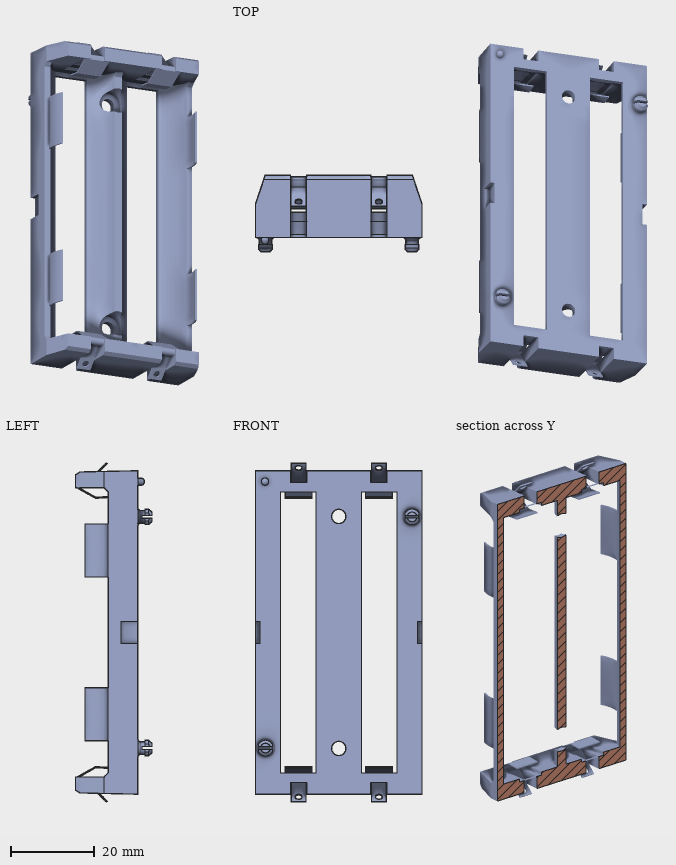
import cadquery as cq
import math

width = 39.78
depth = 14.95
half_length = 38.65
rail_depth = 7.1

end_wall_inner_z = 34.5
wall_corner = 1.0
taper_start_y = rail_depth + wall_corner
side_taper = 2.3
end_draft = 0.3
rear_bevel_y = 1.1
rear_bevel_z = 0.7

cell_x = 9.65
cell_y = 9.06
cell_radius = 8.9
window_width = 8.4
window_half_length = 33.5
window_floor = 1.25

clip_thickness = 0.4
clip_length = 12.7
clip_z = 19.55
clip_top_y = 12.7
clip_root_y = 5.0

groove_x = 9.58
groove_width = 3.8
groove_floor_z = 35.85
lip_depth = 0.8
floor_drop = 0.25
step_y = 3.85
step_drop = 0.1
opening_start_y = 6.1
opening_end_y = 12.5
spring_pocket_width = 6.6
spring_pocket_roof_z = 35.3

sheet = 0.3
contact_rear_y = 14.55
foot_z = groove_floor_z - floor_drop
tab_bend_y = 12.15
overall_length = 81.03
tab_tip_z = overall_length / 2
tab_width = 3.6
tab_hole_diameter = 1.65
tab_hole_below_tip = 1.1
rear_bend_radius = 0.8
spring_width = 6.4
spring_bend_y = 10.1
spring_bend_z = 32.0
spring_end_y = 6.9
spring_end_z = 32.2

screw_hole_diameter = 3.35
screw_hole_z = 27.7
screw_head_diameter = 6.0
screw_head_y = 1.8
notch_depth_x = 1.1
notch_depth_y = 4.1
notch_length = 5.25
snap_peg_x = 17.5
snap_peg_z = 27.6
overall_depth = 18.34
snap_peg_length = overall_depth - depth
snap_slot_width = 0.65
snap_slot_start = 1.0
snap_head_width = 3.25
key_peg_x = -17.6
key_peg_z = 36.0
key_peg_radius = 0.88
key_peg_length = 1.55
key_peg_rim = 0.75

SIDES = (-1, 1)


def block(x_range, y_range, z_range):
    """Box given by its limits along each axis."""
    ranges = (x_range, y_range, z_range)
    sizes = [high - low for low, high in ranges]
    corner = tuple(low for low, high in ranges)
    return cq.Workplane("XY").box(*sizes, centered=False).translate(corner)


def across(middle, size):
    """Limits of a span of the given size about its middle."""
    return (middle - size / 2, middle + size / 2)


def side_plate(points, x_middle, plate_width):
    """Closed outline of (y, z) points extruded along X about x_middle."""
    plane = cq.Workplane("YZ", origin=(x_middle - plate_width / 2, 0, 0))
    return plane.polyline(points).close().extrude(plate_width)


def at_both_ends(shape):
    """The shape joined with its mirror image at the opposite Z end."""
    return shape.union(shape.mirror("XY"))


def make_body():
    """Low rails between deep end walls, with drafted ends and sides tapered at the rear."""
    bevel_y = depth - rear_bevel_y
    drafted_z = half_length - end_draft
    side = [
        (0, half_length),
        (bevel_y, drafted_z),
        (depth, drafted_z - rear_bevel_z),
        (depth, end_wall_inner_z),
        (taper_start_y, end_wall_inner_z),
        (rail_depth, end_wall_inner_z - wall_corner),
    ]
    opposite_side = [(y, -z) for y, z in reversed(side)]
    body = side_plate(side + opposite_side, 0, width)
    half_width = width / 2
    outline = (
        cq.Workplane("XY", origin=(0, 0, -half_length))
        .moveTo(-half_width, 0)
        .lineTo(half_width, 0)
        .lineTo(half_width, taper_start_y)
        .lineTo(half_width - side_taper, depth)
        .lineTo(side_taper - half_width, depth)
        .lineTo(-half_width, taper_start_y)
        .close()
        .extrude(2 * half_length)
    )
    return body.intersect(outline)


def cell_cylinder(x, radius, length):
    """Cylinder along Z on the axis of a cell, centred on Z = 0."""
    plane = cq.Workplane("XY", origin=(x, cell_y, -length / 2))
    return plane.circle(radius).extrude(length)


def cut_cells(body):
    """Cell troughs between the end walls and the windows through their floors."""
    for side in SIDES:
        x = side * cell_x
        above_floor = block(
            across(x, 2 * cell_radius),
            (window_floor, cell_y + cell_radius),
            across(0, 2 * end_wall_inner_z),
        )
        trough = cell_cylinder(x, cell_radius, 2 * end_wall_inner_z)
        body = body.cut(trough.intersect(above_floor))
        window = block(
            across(x, window_width),
            (0, cell_y),
            across(0, 2 * window_half_length),
        )
        body = body.cut(window)
    return body


def make_clip(side):
    """Curved spring clip that follows the outer side of one cell."""
    x = side * cell_x
    tube = cell_cylinder(x, cell_radius + clip_thickness, clip_length)
    tube = tube.cut(cell_cylinder(x, cell_radius, clip_length))
    outer_x = sorted((x, side * width / 2))
    keep = block(outer_x, (clip_root_y, clip_top_y), across(0, clip_length))
    return tube.intersect(keep).translate((0, 0, clip_z))


def cut_groove(body, x):
    """Contact groove in both end faces, with a stepped floor, an opening and a spring pocket."""
    span = across(x, groove_width)
    lip = block(span, (0, lip_depth), (groove_floor_z, half_length))
    floor = block(span, (lip_depth, depth), (foot_z, half_length))
    step = block(span, (step_y, opening_start_y), (foot_z - step_drop, half_length))
    opening = block(
        across(x, tab_width),
        (opening_start_y, opening_end_y),
        (end_wall_inner_z, half_length),
    )
    recess = block(span, (contact_rear_y - sheet, depth), (end_wall_inner_z, half_length))
    pocket = block(
        across(x, spring_pocket_width),
        (step_y, opening_end_y),
        (end_wall_inner_z, spring_pocket_roof_z),
    )
    for cavity in (lip, floor, step, opening, recess, pocket):
        body = body.cut(at_both_ends(cavity))
    return body


def make_contact(x):
    """Bent contact: a sloping solder tab, a foot around the end wall and a sloping spring."""
    top_z = foot_z + sheet
    tab_run = tab_tip_z - top_z
    slant = sheet * math.sqrt(2)
    tab_tip_y = tab_bend_y - tab_run
    tab_profile = [
        (tab_bend_y, top_z),
        (tab_tip_y, tab_tip_z),
        (tab_tip_y - slant / 2, tab_tip_z - slant / 2),
        (tab_bend_y + sheet - slant, foot_z),
        (contact_rear_y - sheet, foot_z),
        (contact_rear_y - sheet, end_wall_inner_z),
        (contact_rear_y, end_wall_inner_z),
        (contact_rear_y, top_z),
    ]
    tab = side_plate(tab_profile, x, tab_width)
    rear_corner = cq.selectors.NearestToPointSelector((x, contact_rear_y, top_z))
    tab = tab.edges("|X").edges(rear_corner).fillet(rear_bend_radius)
    hole_center = (x, tab_tip_y + tab_hole_below_tip, tab_tip_z - tab_hole_below_tip)
    hole_plane = cq.Plane(origin=hole_center, xDir=(1, 0, 0), normal=(0, 1, 1))
    hole = cq.Workplane(hole_plane).circle(tab_hole_diameter / 2).extrude(2 * sheet, both=True)

    spring_profile = [
        (contact_rear_y, end_wall_inner_z),
        (spring_bend_y, spring_bend_z),
        (spring_end_y, spring_end_z),
        (spring_end_y, spring_end_z + sheet),
        (spring_bend_y, spring_bend_z + sheet),
        (contact_rear_y - 2 * sheet, end_wall_inner_z),
    ]
    spring = side_plate(spring_profile, x, spring_width)
    return tab.cut(hole).union(spring)


def make_snap_peg(x, z):
    """Waisted peg with a conical tip, flat flanks and a slot along X."""
    waist_radius = 1.55
    flare = 0.65
    base_radius = waist_radius + flare
    flare_mid = flare * (1 - math.sqrt(0.5))
    head_radius = 1.88
    tip_radius = 1.15
    head_start = 1.65
    head_end = 2.5
    peg = (
        cq.Workplane("XY")
        .moveTo(0, 0)
        .lineTo(base_radius, 0)
        .threePointArc((waist_radius + flare_mid, -flare_mid), (waist_radius, -flare))
        .lineTo(waist_radius, -head_start)
        .lineTo(head_radius, -head_start)
        .lineTo(head_radius, -head_end)
        .lineTo(tip_radius, -snap_peg_length)
        .lineTo(0, -snap_peg_length)
        .close()
        .revolve(360, (0, 0, 0), (0, 1, 0))
    )
    full = across(0, 2 * base_radius)
    head_span = (-snap_peg_length, -flare)
    flanks = block(across(0, snap_head_width), head_span, full)
    base = block(full, (-flare, 0), full)
    slot_span = (-snap_peg_length, -snap_slot_start)
    slot = block(full, slot_span, across(0, snap_slot_width))
    return peg.intersect(flanks.union(base)).cut(slot).translate((x, 0, z))


def make_key_peg():
    """Small round-nosed peg that marks one corner of the mounting face."""
    rise = key_peg_length - key_peg_rim
    sphere_radius = (key_peg_radius**2 + rise**2) / (2 * rise)
    half_angle = math.asin(key_peg_radius / sphere_radius) / 2
    middle_length = key_peg_length - sphere_radius * (1 - math.cos(half_angle))
    dome_middle = (sphere_radius * math.sin(half_angle), -middle_length)
    peg = (
        cq.Workplane("XY")
        .moveTo(0, 0)
        .lineTo(key_peg_radius, 0)
        .lineTo(key_peg_radius, -key_peg_rim)
        .threePointArc(dome_middle, (0, -key_peg_length))
        .close()
        .revolve(360, (0, 0, 0), (0, 1, 0))
    )
    return peg.translate((key_peg_x, 0, key_peg_z))


def cut_screw_holes(body):
    """Two counterbored screw holes through the divider between the cells."""
    plane = cq.Workplane("XZ", origin=(0, 0, screw_hole_z))
    hole = plane.circle(screw_hole_diameter / 2).extrude(-depth)
    head = plane.workplane(offset=-screw_head_y).circle(screw_head_diameter / 2).extrude(-depth)
    return body.cut(at_both_ends(hole.union(head)))


def cut_side_notches(body):
    """Shallow notch in the middle of each long side, open to the mounting face."""
    for side in SIDES:
        outer = side * width / 2
        x_range = sorted((outer, outer - side * notch_depth_x))
        body = body.cut(block(x_range, (0, notch_depth_y), across(0, notch_length)))
    return body


result = cut_cells(make_body())
result = cut_screw_holes(result)
result = cut_side_notches(result)
for side in SIDES:
    result = cut_groove(result, side * groove_x)
    result = result.union(at_both_ends(make_contact(side * groove_x)))
    result = result.union(at_both_ends(make_clip(side)))
    result = result.union(make_snap_peg(side * snap_peg_x, side * snap_peg_z))
result = result.union(make_key_peg())